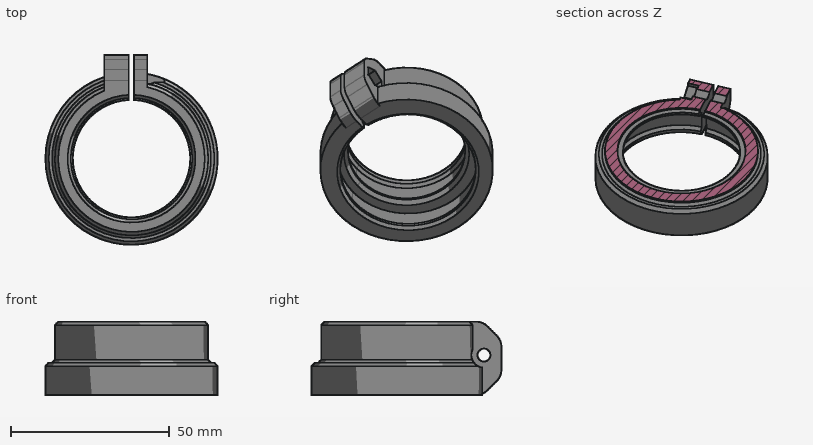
import cadquery as cq
import math

ring_height = 23.16
base_radius = 27.135
collar_radius = 24.13
shoulder_z = 10.24
edge_chamfer = 1.1
foot_chamfer = 0.88

upper_seat_radius = 20.1
lower_seat_radius = 22.3
lower_seat_y = -0.75
lip_depth = 1.0
upper_lip_land = 2.0
lower_lip_land = 1.1
web_radius = 18.45
web_top_z = 11.2
web_land = 0.75
web_bevel = 1.25

lug_tip_y = 32.685
lug_left_x = -8.65
lug_right_x = 4.95
lug_root_y = 21.0
lug_corner = 5.95
lug_round = 5.0
slot_left_x = -0.8
slot_right_x = 0.75

screw_y = 27.14
screw_z = 12.6
screw_diameter = 4.0
nut_across_flats = 6.9
nut_depth = 3.5
head_diameter = 7.9
head_end_x = 10.45


def revolve_profile(outline):
    """Solid of revolution about Z from (radius, z) points."""
    return cq.Workplane("XZ").polyline(outline).close().revolve(360, (0, 0), (0, 1))


def make_ring_body():
    """Solid outer shape of the ring, without the bore."""
    outline = [
        (0, 0),
        (base_radius, 0),
        (base_radius, shoulder_z - edge_chamfer),
        (base_radius - edge_chamfer, shoulder_z),
        (collar_radius + foot_chamfer, shoulder_z),
        (collar_radius, shoulder_z + foot_chamfer),
        (collar_radius, ring_height - edge_chamfer),
        (collar_radius - edge_chamfer, ring_height),
        (0, ring_height),
    ]
    return revolve_profile(outline)


def make_lower_seat():
    """Off-axis seat in the base, closed below by a bevelled lip."""
    lip_radius = lower_seat_radius - lip_depth
    lip_top_z = lip_depth + lower_lip_land
    seat_top_z = web_top_z - web_land - web_bevel
    outline = [
        (0, 0),
        (lower_seat_radius, 0),
        (lip_radius, lip_depth),
        (lip_radius, lip_top_z),
        (lower_seat_radius, lip_top_z + lip_depth),
        (lower_seat_radius, seat_top_z),
        (0, seat_top_z),
    ]
    return revolve_profile(outline).translate((0, lower_seat_y, 0))


def make_upper_bore():
    """Bore through the web, the upper seat and the bevelled lip at the top."""
    lip_radius = upper_seat_radius - lip_depth
    lip_top_z = ring_height - lip_depth
    lip_bottom_z = lip_top_z - upper_lip_land
    web_bottom_z = web_top_z - web_land
    outline = [
        (0, web_bottom_z - web_bevel),
        (web_radius + web_bevel, web_bottom_z - web_bevel),
        (web_radius, web_bottom_z),
        (web_radius, web_top_z),
        (upper_seat_radius, web_top_z),
        (upper_seat_radius, lip_bottom_z - lip_depth),
        (lip_radius, lip_bottom_z),
        (lip_radius, lip_top_z),
        (upper_seat_radius, ring_height),
        (0, ring_height),
    ]
    return revolve_profile(outline)


def make_lug():
    """Clamping lug with cut and rounded outer corners, over the full ring height."""
    corner_y = lug_tip_y - lug_corner
    outline = [
        (lug_root_y, 0),
        (corner_y, 0),
        (lug_tip_y, lug_corner),
        (lug_tip_y, ring_height - lug_corner),
        (corner_y, ring_height),
        (lug_root_y, ring_height),
    ]
    lug = (
        cq.Workplane("YZ", origin=(lug_left_x, 0, 0))
        .polyline(outline)
        .close()
        .extrude(lug_right_x - lug_left_x)
    )
    return lug.edges("|X and (not <Y)").fillet(lug_round)


def make_lug_clearance():
    """Block that clears the ring wall where the lug takes its place."""
    return cq.Workplane("XY").box(
        lug_right_x - lug_left_x, lug_tip_y - lug_root_y, ring_height, centered=False
    ).translate((lug_left_x, lug_root_y, 0))


def screw_plane(start_x):
    """Workplane facing +X, centred on the screw axis."""
    return cq.Workplane("YZ", origin=(start_x, screw_y, screw_z))


def make_screw_cuts():
    """Through hole, hexagonal nut pocket and screw head clearance."""
    hole = screw_plane(lug_left_x).circle(screw_diameter / 2).extrude(lug_right_x - lug_left_x)
    nut_across_corners = nut_across_flats / math.cos(math.pi / 6)
    nut = (
        screw_plane(lug_left_x)
        .transformed(rotate=(0, 0, 90))
        .polygon(6, nut_across_corners)
        .extrude(nut_depth)
    )
    head = screw_plane(lug_right_x).circle(head_diameter / 2).extrude(head_end_x - lug_right_x)
    return hole.union(nut).union(head)


def make_slot():
    """Gap that splits the lug and the ring wall behind it."""
    return cq.Workplane("XY").box(
        slot_right_x - slot_left_x, lug_tip_y, ring_height, centered=False
    ).translate((slot_left_x, 0, 0))


ring = make_ring_body().cut(make_lug_clearance()).union(make_lug())
ring = ring.cut(make_lower_seat()).cut(make_upper_bore())
result = ring.cut(make_screw_cuts()).cut(make_slot())